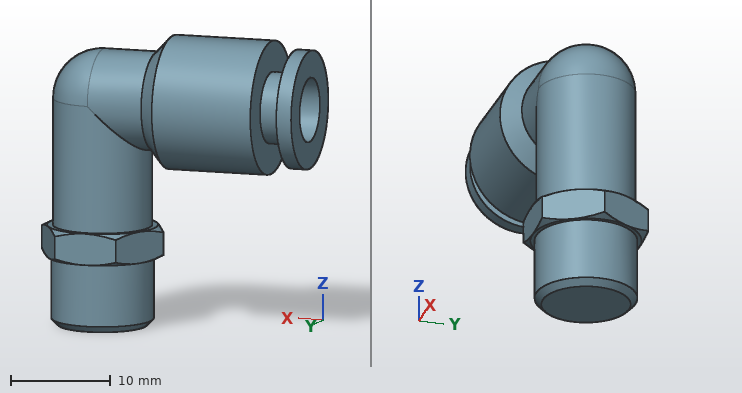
import cadquery as cq
import math

thread_radius = 5.17
thread_chamfer = 0.7
hex_bottom = 7.0
hex_top = 10.2
hex_across_flats = 11.15
hex_corner_radius = hex_across_flats / 2 / math.cos(math.radians(30))
hex_face_radius = hex_across_flats / 2
hex_chamfer_drop = 0.45

sleeve_radius = 6.775
tube_radius = 5.0
tube_axis_z = 29.9 - sleeve_radius
cone_end_x = -5.7
cone_start_x = -7.42
sleeve_start_x = -17.83

overall_length = 28.32
collar_start_x = hex_corner_radius - overall_length
collar_thickness = 1.55
collar_radius = 6.0
neck_radius = 3.62
bore_radius = 3.25
neck_end_x = sleeve_start_x


def x_cylinder(radius, start_x, end_x):
    """Cylinder along the horizontal tube axis."""
    plane = cq.Plane(origin=(start_x, 0, tube_axis_z), xDir=(0, 1, 0), normal=(1, 0, 0))
    return cq.Workplane(plane).circle(radius).extrude(end_x - start_x)


def make_elbow():
    """Sleeve tapering into a tube that turns down through a ball corner."""
    sleeve = x_cylinder(sleeve_radius, sleeve_start_x, cone_start_x)
    cone = cq.Workplane(cq.Solid.makeCone(
        sleeve_radius, tube_radius, cone_end_x - cone_start_x,
        pnt=cq.Vector(cone_start_x, 0, tube_axis_z), dir=cq.Vector(1, 0, 0),
    ))
    horizontal_tube = x_cylinder(tube_radius, cone_end_x, 0)
    vertical_tube = (
        cq.Workplane("XY", origin=(0, 0, hex_top))
        .circle(tube_radius)
        .extrude(tube_axis_z - hex_top)
    )
    corner_ball = cq.Workplane("XY", origin=(0, 0, tube_axis_z)).sphere(tube_radius)
    return sleeve.union(cone).union(horizontal_tube).union(vertical_tube).union(corner_ball)


def make_release_ring():
    """Collar and neck with a bore running through to the sleeve face."""
    collar_end_x = collar_start_x + collar_thickness
    collar = x_cylinder(collar_radius, collar_start_x, collar_end_x)
    neck = x_cylinder(neck_radius, collar_end_x, neck_end_x)
    bore = x_cylinder(bore_radius, collar_start_x, neck_end_x)
    return collar.union(neck).cut(bore)


def make_stud():
    """Chamfered thread below a hexagon whose corners are turned off at both ends."""
    thread = (
        cq.Workplane("XY").circle(thread_radius).extrude(hex_bottom)
        .faces("<Z").chamfer(thread_chamfer)
    )
    hexagon = (
        cq.Workplane("XY", origin=(0, 0, hex_bottom))
        .polygon(6, 2 * hex_corner_radius)
        .extrude(hex_top - hex_bottom)
    )
    turned_profile = (
        cq.Workplane("XZ")
        .moveTo(0, hex_bottom)
        .lineTo(hex_face_radius, hex_bottom)
        .lineTo(hex_corner_radius, hex_bottom + hex_chamfer_drop)
        .lineTo(hex_corner_radius, hex_top - hex_chamfer_drop)
        .lineTo(hex_face_radius, hex_top)
        .lineTo(0, hex_top)
        .close()
    )
    turned_blank = turned_profile.revolve(360, (0, 0, 0), (0, 1, 0))
    return thread.union(hexagon.intersect(turned_blank))


elbow = make_elbow()
release_ring = make_release_ring()
stud = make_stud()

result = cq.Compound.makeCompound([elbow.val(), release_ring.val(), stud.val()])